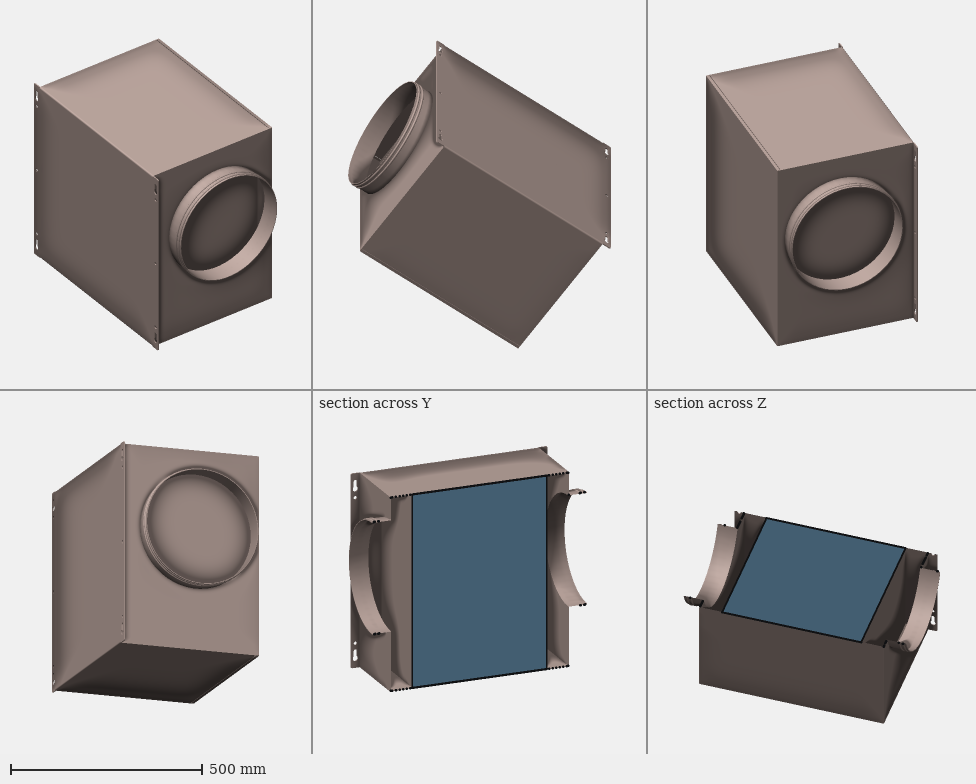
import cadquery as cq
overall_length = 610.0
overall_depth = 385.0
height = 540.0
sheet = 3.0
front_y = -overall_depth / 2
back_y = overall_depth / 2

box_width = 507.0
half_box = box_width / 2
front_bend_radius = 4.0
flange_total_width = 556.5
flange_width = (flange_total_width - box_width) / 2
flange_corner_radius = 4.0

hole_x = half_box + flange_width / 2
screw_hole_diameter = 9.0
screw_hole_pitch = 202.0
screw_hole_zs = [-screw_hole_pitch, 0, screw_hole_pitch]
keyhole_head_diameter = 14.5
keyhole_slot_width = 9.0
keyhole_length = 32.5
keyhole_end_z = 251.5
keyhole_bottom_zs = [-keyhole_end_z, keyhole_end_z - keyhole_length]

lid_depth = 10.0
lid_bend_radius = 2.0
lid_gap = 2.0
housing_back_y = back_y - lid_depth

spigot_y = 16.0
spigot_z = 51.0
tube_radius = 155.5
tube_wall = 2.0
rib_height = 2.5
rib_width = 6.0
rib_offsets = [8.0, 19.0]

chamber_length = 59.0
filter_width = box_width - 2 * (sheet + chamber_length)


def block(width, y_start, y_end, tall):
    """A box centred on X and Z that runs from y_start to y_end."""
    middle_y = (y_start + y_end) / 2
    return cq.Workplane("XY").box(width, y_end - y_start, tall).translate((0, middle_y, 0))


def front_cylinder(diameter, x, z):
    """A cutter through the front sheet, round about Y."""
    return (
        cq.Workplane("XZ", origin=(x, front_y - sheet, z))
        .circle(diameter / 2)
        .extrude(-3 * sheet)
    )


def keyhole(x, bottom_z):
    """A cutter with a round head below and a narrow round-ended slot above."""
    head_z = bottom_z + keyhole_head_diameter / 2
    slot_top_z = bottom_z + keyhole_length - keyhole_slot_width / 2
    slot = (
        cq.Workplane("XZ", origin=(x, front_y - sheet, (head_z + slot_top_z) / 2))
        .rect(keyhole_slot_width, slot_top_z - head_z)
        .extrude(-3 * sheet)
    )
    head = front_cylinder(keyhole_head_diameter, x, head_z)
    slot_end = front_cylinder(keyhole_slot_width, x, slot_top_z)
    return head.union(slot).union(slot_end)


def make_flange(side):
    """One mounting flange, with its screw holes and keyholes."""
    outer_edge = "|Y and >X" if side > 0 else "|Y and <X"
    flange = (
        block(flange_width, front_y, front_y + sheet, height)
        .translate((side * hole_x, 0, 0))
        .edges(outer_edge)
        .fillet(flange_corner_radius)
    )
    for z in screw_hole_zs:
        flange = flange.cut(front_cylinder(screw_hole_diameter, side * hole_x, z))
    for z in keyhole_bottom_zs:
        flange = flange.cut(keyhole(side * hole_x, z))
    return flange


def make_housing():
    """Sheet-metal box with bent front edges, spigot holes and mounting flanges."""
    housing = (
        block(box_width, front_y, housing_back_y, height)
        .edges("|X and <Y")
        .fillet(front_bend_radius)
        .faces(">Y")
        .shell(-sheet)
    )
    spigot_holes = (
        cq.Workplane("YZ", origin=(-half_box, spigot_y, spigot_z))
        .circle(tube_radius)
        .extrude(box_width)
    )
    housing = housing.cut(spigot_holes)
    for side in (-1, 1):
        housing = housing.union(make_flange(side), clean=True)
    return housing


def make_lid():
    """Back tray with bent side rims and shorter top and bottom rims."""
    lid = (
        block(box_width, housing_back_y, back_y, height)
        .edges("|Z and >Y")
        .fillet(lid_bend_radius)
        .faces("<Y")
        .shell(-sheet)
    )
    inside_width = box_width - 2 * sheet
    return lid.cut(block(inside_width, housing_back_y, housing_back_y + lid_gap, height))


def make_spigot(side):
    """Tube with two half-round ribs near its open end, revolved about its own X axis."""
    end_x = overall_length / 2
    profile = cq.Workplane("XZ").moveTo(end_x, tube_radius - tube_wall).lineTo(end_x, tube_radius)
    for offset in rib_offsets:
        rib_x = end_x - offset
        profile = (
            profile.lineTo(rib_x + rib_width / 2, tube_radius)
            .threePointArc(
                (rib_x, tube_radius + rib_height),
                (rib_x - rib_width / 2, tube_radius),
            )
        )
    seat_x = half_box - sheet
    spigot = (
        profile.lineTo(seat_x, tube_radius)
        .lineTo(seat_x, tube_radius - tube_wall)
        .close()
        .revolve(360, (0, 0, 0), (1, 0, 0))
    )
    if side < 0:
        spigot = spigot.mirror("YZ")
    return spigot.translate((0, spigot_y, spigot_z))


def make_filter():
    """Plain block between the front sheet and the back sheet, rounded to fit the front bends."""
    filter_height = height - 2 * sheet
    return (
        block(filter_width, front_y + sheet, back_y - sheet, filter_height)
        .edges("|X and <Y")
        .fillet(front_bend_radius - sheet)
    )


housing = make_housing()
lid = make_lid()
spigots = [make_spigot(side) for side in (-1, 1)]
filter_block = make_filter()

result = cq.Compound.makeCompound(
    [housing.val(), lid.val(), *[spigot.val() for spigot in spigots], filter_block.val()]
)